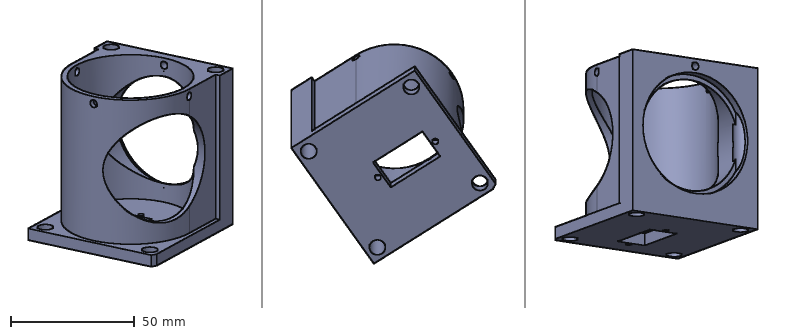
import cadquery as cq
import math

width = 60.0
height = 67.0
base_thickness = 5.0

housing_diameter = 56.0
bore_diameter = 51.0
back_block_front = 20.0

window_diameter = 46.0
window_height = (base_thickness + height) / 2
window_angles = (90.0, -26.0)

seat_diameter = 50.2
seat_depth = 4.0

corner_hole_diameter = 6.4
corner_hole_offset = 24.9
rim_hole_diameter = 3.2
rim_hole_depth = 3.1

slot_width = 12.85
slot_length = 24.0
slot_center_y = -5.95
screw_hole_diameter = 2.4
screw_hole_spacing = 27.9

bevel_x = 1.2
bevel_y = 2.15


def make_base():
    half = width / 2
    return (
        cq.Workplane("XY")
        .moveTo(-half, -half)
        .lineTo(half - bevel_x, -half)
        .lineTo(half, -half + bevel_y)
        .lineTo(half, half)
        .lineTo(-half, half)
        .close()
        .extrude(base_thickness)
    )


def make_housing():
    radius = housing_diameter / 2
    half = width / 2
    return (
        cq.Workplane("XY")
        .moveTo(-radius, 0)
        .threePointArc((0, -radius), (radius, 0))
        .lineTo(radius, back_block_front)
        .lineTo(half, back_block_front)
        .lineTo(half, half)
        .lineTo(-half, half)
        .lineTo(-half, back_block_front)
        .lineTo(-radius, back_block_front)
        .close()
        .extrude(height)
    )


def make_bore():
    return (
        cq.Workplane("XY", origin=(0, 0, base_thickness))
        .circle(bore_diameter / 2)
        .extrude(height - base_thickness)
    )


def radial_cylinder(diameter, angle, z):
    """Horizontal cylinder running outward from the bore axis."""
    direction = cq.Vector(math.cos(math.radians(angle)), math.sin(math.radians(angle)), 0)
    return cq.Solid.makeCylinder(diameter / 2, width, cq.Vector(0, 0, z), direction)


def make_window_seat():
    return (
        cq.Workplane("XZ", origin=(0, width / 2, window_height))
        .circle(seat_diameter / 2)
        .extrude(seat_depth)
    )


def vertical_holes(diameter, centers):
    return cq.Workplane("XY").pushPoints(centers).circle(diameter / 2).extrude(height)


def make_floor_opening():
    slot = (
        cq.Workplane("XY")
        .center(0, slot_center_y)
        .rect(slot_width, slot_length)
        .extrude(height)
    )
    screw_centers = [(0, slot_center_y + side * screw_hole_spacing / 2) for side in (-1, 1)]
    return slot.union(vertical_holes(screw_hole_diameter, screw_centers))


corner_centers = [
    (x_side * corner_hole_offset, y_side * corner_hole_offset)
    for x_side in (-1, 1)
    for y_side in (-1, 1)
]

result = make_base().union(make_housing()).cut(make_bore())
for angle in window_angles:
    result = result.cut(radial_cylinder(window_diameter, angle, window_height))
result = result.cut(make_window_seat())
for angle in (0, 90, 180, 270):
    result = result.cut(radial_cylinder(rim_hole_diameter, angle, height - rim_hole_depth))
result = result.cut(vertical_holes(corner_hole_diameter, corner_centers))
result = result.cut(make_floor_opening())